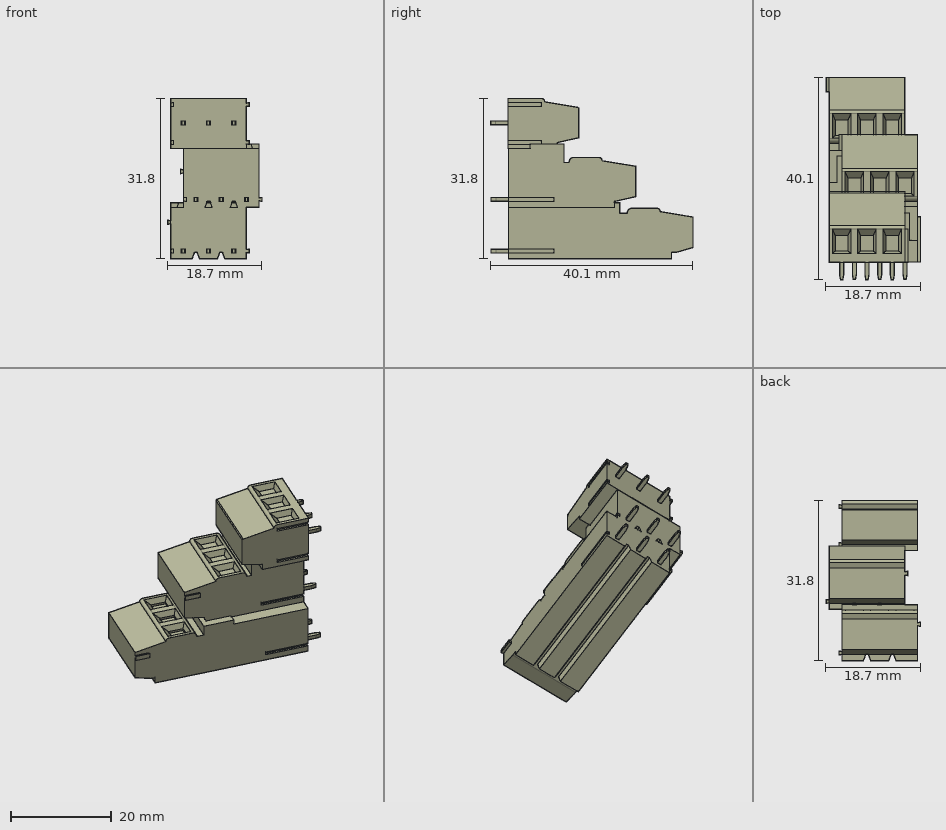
import cadquery as cq
import math


POLES = 3
PITCH = 5.0
TIER_WIDTH = 15.0
TIER_HEIGHT = 10.05
BACK_BOTTOM = 2.25
BACK_TOP = 8.3
UNDERCUT_RUN = 4.25
UNDERCUT_TOP = 1.3
BASE_FLAT_RUN = 0.92
LIP_RADIUS = 0.7
NOSE_RADIUS = 1.0
FLAT_LENGTH = 5.9
LEDGE_HEIGHT = TIER_HEIGHT - NOSE_RADIUS

LOWER_X, LOWER_Z, LOWER_BACK, LOWER_FLAT = 0, 0, 36.57, 29.4
MIDDLE_X, MIDDLE_Z, MIDDLE_BACK, MIDDLE_FLAT = 2.53, 10.05, 25.22, 17.9
UPPER_X, UPPER_Z, UPPER_BACK, UPPER_FLAT = 0, 21.75, 13.95, 6.55
DECK_FRONT, UPPER_FRONT = 0, -0.1
MIDDLE_FLOOR = 10.2
UPPER_FLOOR = 21.8
MIDDLE_STEP = MIDDLE_BACK - UNDERCUT_RUN
UPPER_STEP = UPPER_BACK - UNDERCUT_RUN
UPPER_EDGE_RUN, UPPER_EDGE_DROP = 0.25, 0.15

RAIL_HEIGHT = 0.95
LOWER_RAIL_BACK = 22.05
MIDDLE_RAIL_BACK = 11.03
LOWER_GUIDE_FRONT = 15.7
MIDDLE_GUIDE_FRONT = 4.3
GUIDE_TOP_WIDTH = 1.6
GUIDE_ROOT_WIDTH = 1.3

FUNNEL_WIDTH, FUNNEL_LENGTH = 3.65, 4.8
FUNNEL_FLOOR_WIDTH = 2.53
FUNNEL_FRONT_INSET, FUNNEL_BACK_INSET = 0.5, 1.3
FUNNEL_DEPTH = 1.15
LOWER_WELL_DEPTH = 0.45

PIN_WIDTH, PIN_HEIGHT, PIN_LENGTH = 0.85, 0.8, 3.45
PIN_STRAIGHT = 2.45
PIN_TIP_WIDTH = 0.5
LOWER_PIN_Z, MIDDLE_PIN_Z, UPPER_PIN_Z = 1.55, 11.8, 26.95

DOVETAIL_DEPTH, DOVETAIL_ROOT, DOVETAIL_TIP = 0.6, 0.6, 0.85
DECK_DOVETAIL_LENGTH = 9.0
UPPER_DOVETAIL_LENGTH = 6.6
UPPER_DOVETAIL_HEIGHTS = (23.05, 30.55)
KEY_TIP = 0.95
LOWER_KEY_Z, LOWER_KEY_LENGTH = 7.25, 2.9
MIDDLE_KEY_Z, MIDDLE_KEY_LENGTH = 17.32, 3.15

SLOT_BOTTOM, SLOT_TOP, SLOT_HEIGHT = 1.45, 0.5, 1.3

DIAGONAL = math.sqrt(0.5)


def box(x_min, x_max, y_min, y_max, z_min, z_max):
    size = (x_max - x_min, y_max - y_min, z_max - z_min)
    return cq.Workplane("XY").box(*size, centered=False).translate((x_min, y_min, z_min))


def prism_along_y(points, y_min, y_max):
    """Extrude an (x, z) polygon from y_min to y_max."""
    plane = cq.Workplane("XZ", origin=(0, y_max, 0))
    return plane.polyline(points).close().extrude(y_max - y_min)


def roof(outline, datum, flat_y):
    """Continue a (y, z) outline from the top of the wire face over the lip to the flat top."""
    top = datum + TIER_HEIGHT
    lip_mid = (flat_y + LIP_RADIUS * DIAGONAL, top - LIP_RADIUS * (1 - DIAGONAL))
    outline = outline.lineTo(flat_y + LIP_RADIUS, top - LIP_RADIUS)
    return outline.threePointArc(lip_mid, (flat_y, top))


def nose(outline, datum, flat_y):
    """Continue along the flat top and round it down to the ledge."""
    foot_y = flat_y - FLAT_LENGTH
    top = datum + TIER_HEIGHT
    nose_mid = (foot_y + NOSE_RADIUS * (1 - DIAGONAL), top - NOSE_RADIUS * (1 - DIAGONAL))
    outline = outline.lineTo(foot_y + NOSE_RADIUS, top)
    return outline.threePointArc(nose_mid, (foot_y, datum + LEDGE_HEIGHT))


def lower_tier():
    step_y = LOWER_BACK - UNDERCUT_RUN
    outline = (
        cq.Workplane("YZ", origin=(LOWER_X, 0, 0))
        .moveTo(DECK_FRONT, LOWER_Z)
        .lineTo(step_y, LOWER_Z)
        .lineTo(step_y, UNDERCUT_TOP)
        .lineTo(step_y + BASE_FLAT_RUN, UNDERCUT_TOP)
        .lineTo(LOWER_BACK, BACK_BOTTOM)
        .lineTo(LOWER_BACK, BACK_TOP)
    )
    outline = nose(roof(outline, LOWER_Z, LOWER_FLAT), LOWER_Z, LOWER_FLAT)
    outline = outline.lineTo(LOWER_RAIL_BACK, LEDGE_HEIGHT).lineTo(LOWER_RAIL_BACK, MIDDLE_FLOOR)
    return outline.lineTo(DECK_FRONT, MIDDLE_FLOOR).close().extrude(TIER_WIDTH)


def middle_tier():
    ledge_z = MIDDLE_Z + LEDGE_HEIGHT
    outline = (
        cq.Workplane("YZ", origin=(MIDDLE_X, 0, 0))
        .moveTo(DECK_FRONT, MIDDLE_FLOOR)
        .lineTo(MIDDLE_STEP, MIDDLE_FLOOR)
        .lineTo(MIDDLE_STEP, MIDDLE_Z + UNDERCUT_TOP)
        .lineTo(MIDDLE_BACK, MIDDLE_Z + BACK_BOTTOM)
        .lineTo(MIDDLE_BACK, MIDDLE_Z + BACK_TOP)
    )
    outline = nose(roof(outline, MIDDLE_Z, MIDDLE_FLAT), MIDDLE_Z, MIDDLE_FLAT)
    outline = outline.lineTo(MIDDLE_RAIL_BACK, ledge_z).lineTo(MIDDLE_RAIL_BACK, UPPER_FLOOR)
    return outline.lineTo(DECK_FRONT, UPPER_FLOOR).close().extrude(TIER_WIDTH)


def upper_tier():
    edge_z = UPPER_Z + BACK_TOP
    outline = (
        cq.Workplane("YZ", origin=(UPPER_X, 0, 0))
        .moveTo(UPPER_FRONT, UPPER_FLOOR)
        .lineTo(UPPER_STEP, UPPER_FLOOR)
        .lineTo(UPPER_STEP, UPPER_Z + UNDERCUT_TOP)
        .lineTo(UPPER_BACK, UPPER_Z + BACK_BOTTOM)
        .lineTo(UPPER_BACK, edge_z - UPPER_EDGE_DROP)
        .lineTo(UPPER_BACK - UPPER_EDGE_RUN, edge_z)
    )
    outline = roof(outline, UPPER_Z, UPPER_FLAT)
    return outline.lineTo(UPPER_FRONT, UPPER_Z + TIER_HEIGHT).close().extrude(TIER_WIDTH)


def rail(tier_x, floor_z, step_y, back_y):
    """Cross rail that the next tier butts against."""
    return box(tier_x, tier_x + TIER_WIDTH, step_y, back_y, floor_z, floor_z + RAIL_HEIGHT)


def guide(wall_x, inward, floor_z, front_y, back_y):
    """Side rail along an outer wall; its inner flank is undercut."""
    top_z = floor_z + RAIL_HEIGHT
    points = [
        (wall_x, floor_z),
        (wall_x + inward * GUIDE_ROOT_WIDTH, floor_z),
        (wall_x + inward * GUIDE_TOP_WIDTH, top_z),
        (wall_x, top_z),
    ]
    return prism_along_y(points, front_y, back_y)


def pole_centres(tier_x):
    first = tier_x + (TIER_WIDTH - (POLES - 1) * PITCH) / 2
    return [first + i * PITCH for i in range(POLES)]


def funnel(centre_x, back_y, top_z, well_depth):
    """Tapered rectangular funnel as a cutter, with an optional straight well below it."""
    front_y = back_y - FUNNEL_LENGTH
    floor_front = front_y + FUNNEL_FRONT_INSET
    floor_back = back_y - FUNNEL_BACK_INSET
    rim_centre_y = (front_y + back_y) / 2
    floor_centre_y = (floor_front + floor_back) / 2
    floor_z = top_z - FUNNEL_DEPTH
    cutter = (
        cq.Workplane("XY", origin=(centre_x, rim_centre_y, top_z))
        .rect(FUNNEL_WIDTH, FUNNEL_LENGTH)
        .workplane(offset=-FUNNEL_DEPTH)
        .center(0, floor_centre_y - rim_centre_y)
        .rect(FUNNEL_FLOOR_WIDTH, floor_back - floor_front)
        .loft(ruled=True)
    )
    if well_depth > 0:
        half = FUNNEL_FLOOR_WIDTH / 2
        well = box(centre_x - half, centre_x + half, floor_front, floor_back, floor_z - well_depth, floor_z)
        cutter = cutter.union(well)
    return cutter


def pin(centre_x, centre_z, front_y):
    """Flat solder pin that tapers in width towards its tip."""
    half = PIN_WIDTH / 2
    half_tip = PIN_TIP_WIDTH / 2
    points = [
        (-half, 0),
        (-half, -PIN_STRAIGHT),
        (-half_tip, -PIN_LENGTH),
        (half_tip, -PIN_LENGTH),
        (half, -PIN_STRAIGHT),
        (half, 0),
    ]
    blank = cq.Workplane("XY").polyline(points).close().extrude(PIN_HEIGHT)
    return blank.translate((centre_x, front_y, centre_z - PIN_HEIGHT / 2))


def dovetail(wall_x, direction, centre_z, front_y, length, tip=DOVETAIL_TIP):
    """Dovetail bar that widens away from the wall; direction is +1 or -1 along X."""
    tip_x = wall_x + direction * DOVETAIL_DEPTH
    points = [
        (wall_x, centre_z - DOVETAIL_ROOT / 2),
        (tip_x, centre_z - tip / 2),
        (tip_x, centre_z + tip / 2),
        (wall_x, centre_z + DOVETAIL_ROOT / 2),
    ]
    return prism_along_y(points, front_y, front_y + length)


def underside_slot(centre_x, floor_z, back_y):
    points = [
        (centre_x - SLOT_BOTTOM / 2, floor_z),
        (centre_x - SLOT_TOP / 2, floor_z + SLOT_HEIGHT),
        (centre_x + SLOT_TOP / 2, floor_z + SLOT_HEIGHT),
        (centre_x + SLOT_BOTTOM / 2, floor_z),
    ]
    return prism_along_y(points, DECK_FRONT, back_y)


def add_poles(body, tier_x, datum, flat_y, pin_z, front_y, well_depth=0):
    """Cut a funnel and add a solder pin for every pole of a tier."""
    for x in pole_centres(tier_x):
        body = body.cut(funnel(x, flat_y, datum + TIER_HEIGHT, well_depth))
        body = body.union(pin(x, pin_z, front_y))
    return body


def add_dovetails(body, tier_x, centre_z, front_y, length):
    """Groove in the left wall and a matching bar on the right wall."""
    body = body.cut(dovetail(tier_x, 1, centre_z, front_y, length))
    return body.union(dovetail(tier_x + TIER_WIDTH, 1, centre_z, front_y, length))


def cut_slots(body, tier_x, floor_z, back_y):
    """Slots in the underside, midway between neighbouring poles."""
    for x in pole_centres(tier_x)[:-1]:
        body = body.cut(underside_slot(x + PITCH / 2, floor_z, back_y))
    return body


def double_deck_block():
    lower = cut_slots(lower_tier(), LOWER_X, LOWER_Z, LOWER_BACK)
    lower = lower.union(rail(LOWER_X, MIDDLE_FLOOR, MIDDLE_STEP, LOWER_RAIL_BACK))
    lower = lower.union(guide(LOWER_X, 1, MIDDLE_FLOOR, LOWER_GUIDE_FRONT, LOWER_RAIL_BACK))

    middle_right = MIDDLE_X + TIER_WIDTH
    middle = cut_slots(middle_tier(), MIDDLE_X, MIDDLE_FLOOR, MIDDLE_STEP)
    middle = middle.union(rail(MIDDLE_X, UPPER_FLOOR, UPPER_STEP, MIDDLE_RAIL_BACK))
    middle = middle.union(guide(middle_right, -1, UPPER_FLOOR, MIDDLE_GUIDE_FRONT, MIDDLE_RAIL_BACK))

    lower = add_poles(lower, LOWER_X, LOWER_Z, LOWER_FLAT, LOWER_PIN_Z, DECK_FRONT, LOWER_WELL_DEPTH)
    lower = add_dovetails(lower, LOWER_X, LOWER_PIN_Z, DECK_FRONT, DECK_DOVETAIL_LENGTH)
    middle = add_poles(middle, MIDDLE_X, MIDDLE_Z, MIDDLE_FLAT, MIDDLE_PIN_Z, DECK_FRONT)
    middle = add_dovetails(middle, MIDDLE_X, MIDDLE_PIN_Z, DECK_FRONT, DECK_DOVETAIL_LENGTH)

    lower_key_front = LOWER_BACK - LOWER_KEY_LENGTH
    middle_key_front = MIDDLE_BACK - MIDDLE_KEY_LENGTH
    lower = lower.union(dovetail(LOWER_X, -1, LOWER_KEY_Z, lower_key_front, LOWER_KEY_LENGTH, KEY_TIP))
    middle = middle.union(dovetail(MIDDLE_X, -1, MIDDLE_KEY_Z, middle_key_front, MIDDLE_KEY_LENGTH, KEY_TIP))
    return lower.union(middle).clean()


def single_deck_block():
    upper = add_poles(upper_tier(), UPPER_X, UPPER_Z, UPPER_FLAT, UPPER_PIN_Z, UPPER_FRONT)
    for z in UPPER_DOVETAIL_HEIGHTS:
        upper = add_dovetails(upper, UPPER_X, z, UPPER_FRONT, UPPER_DOVETAIL_LENGTH)
    return upper


double_deck = double_deck_block()
single_deck = single_deck_block()

result = cq.Compound.makeCompound([double_deck.val(), single_deck.val()])